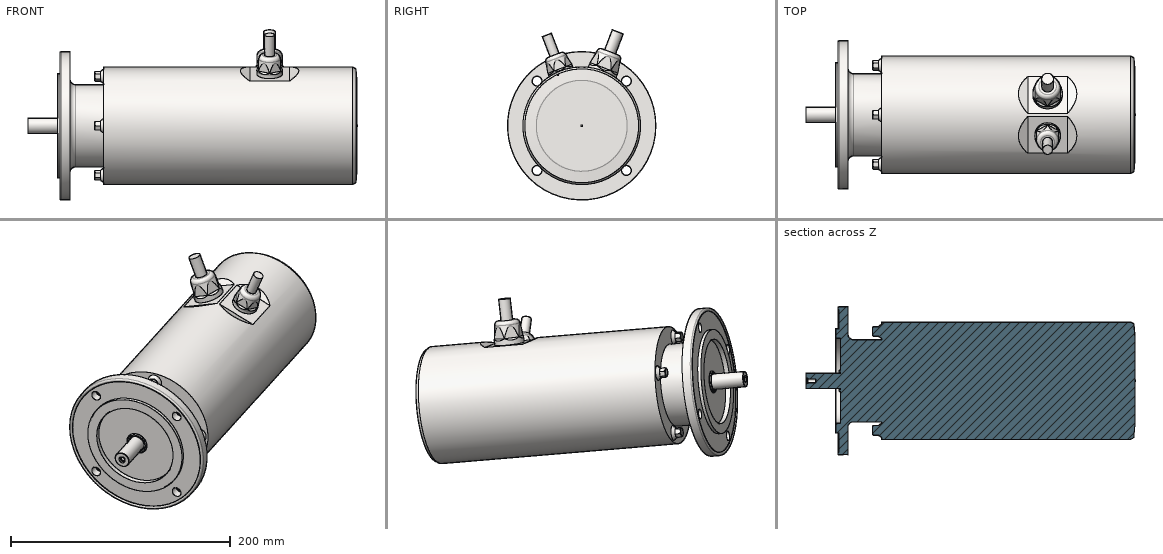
import cadquery as cq
import math

shaft_diameter = 14.0
shaft_chamfer = 0.3
centre_drill_diameter = 3.3
centre_drill_depth = 9.0
centre_bore_diameter = 4.5
centre_bore_depth = 1.8
centre_sink_diameter = 6.3
hub_diameter = 20.0
hub_bore_diameter = 16.0
hub_height = 1.5
hub_chamfer = 1.0

spigot_start = 27.0
spigot_diameter = 95.0
spigot_recess_diameter = 77.0
spigot_recess_depth = 4.5
flange_start = 30.0
flange_end = 38.5
flange_diameter = 135.0
flange_face_diameter = 129.0
rim_bead_centre = 30.5
mount_hole_diameter = 8.7
mount_circle_diameter = 115.0

neck_diameter = 75.0
neck_fillet_radius = 5.0
housing_start = 69.0
housing_end = 298.5
housing_diameter = 107.0
housing_chamfer_length = 3.0
housing_chamfer_depth = 1.8
rear_face_diameter = 82.8
rear_face_end = 299.5
rear_pin_diameter = 1.5
motor_length = 300.0

screw_count = 4
screw_circle_radius = 45.0
screw_head_start = 60.5
screw_hex_corners = 9.0
screw_head_chamfer = 1.0
screw_collar_diameter = 13.5
screw_collar_length = 3.0

seat_centre_x = 220.0
seat_tilt = 21.0
seat_half_width = 18.0
seat_length = 36.0
seat_ramp_angle = 20.0

cap_rounding = 3.5
hexagon_flare = 1.8

housing_radius = housing_diameter / 2
seat_height = math.sqrt(housing_radius**2 - seat_half_width**2)


def cylinder(start, end, diameter):
    """Cylinder on the motor axis between two X positions."""
    return cq.Workplane("YZ").workplane(offset=start).circle(diameter / 2).extrude(end - start)


def seat_frame(tilt):
    """Plane on a cable seat, with x along the motor and its normal tilted towards +Y by `tilt`."""
    angle = math.radians(tilt)
    normal = (0, math.sin(angle), math.cos(angle))
    origin = (seat_centre_x, seat_height * normal[1], seat_height * normal[2])
    return cq.Plane(origin=origin, xDir=(1, 0, 0), normal=normal)


def make_flange():
    flange = cylinder(flange_start, flange_end, flange_diameter)
    spigot = cylinder(spigot_start, flange_start, spigot_diameter)
    recess = cylinder(spigot_start, spigot_start + spigot_recess_depth, spigot_recess_diameter)
    bead_radius = (flange_diameter - flange_face_diameter) / 4
    bead = cq.Workplane(
        cq.Solid.makeTorus(
            flange_diameter / 2 - bead_radius,
            bead_radius,
            cq.Vector(rim_bead_centre, 0, 0),
            cq.Vector(1, 0, 0),
        )
    )
    outer_ring = cylinder(flange_start, rim_bead_centre, flange_diameter)
    outer_ring = outer_ring.cut(cylinder(flange_start, rim_bead_centre, flange_face_diameter))
    flange = flange.cut(outer_ring).union(bead).union(spigot).cut(recess)
    holes = (
        cq.Workplane("YZ")
        .workplane(offset=flange_start)
        .polarArray(mount_circle_diameter / 2, 45, 360, 4)
        .circle(mount_hole_diameter / 2)
        .extrude(flange_end - flange_start)
    )
    return flange.cut(holes)


def make_neck():
    neck_radius = neck_diameter / 2
    return (
        cq.Workplane("XY")
        .moveTo(flange_end, 0)
        .lineTo(flange_end, neck_radius + neck_fillet_radius)
        .radiusArc((flange_end + neck_fillet_radius, neck_radius), -neck_fillet_radius)
        .lineTo(housing_start, neck_radius)
        .lineTo(housing_start, 0)
        .close()
        .revolve(360, (0, 0, 0), (1, 0, 0))
    )


def make_shaft():
    recess_floor = spigot_start + spigot_recess_depth
    hub = cylinder(recess_floor - hub_height, recess_floor, hub_diameter)
    hub = hub.faces("<X").chamfer(hub_chamfer)
    hub = hub.cut(cylinder(recess_floor - hub_height, recess_floor, hub_bore_diameter))
    shaft = cylinder(0, flange_end, shaft_diameter).faces("<X").chamfer(shaft_chamfer)
    drill = cylinder(0, centre_drill_depth, centre_drill_diameter)
    bore = cylinder(0, centre_bore_depth, centre_bore_diameter)
    sink_depth = (centre_sink_diameter - centre_bore_diameter) / 2
    sink = cq.Workplane(
        cq.Solid.makeCone(
            centre_sink_diameter / 2,
            centre_bore_diameter / 2,
            sink_depth,
            pnt=cq.Vector(0, 0, 0),
            dir=cq.Vector(1, 0, 0),
        )
    )
    return shaft.union(hub).cut(drill).cut(bore).cut(sink)


def make_screw_head(angle):
    centre = (0, screw_circle_radius)
    collar_start = housing_start - screw_collar_length
    hexagon = (
        cq.Workplane("YZ")
        .workplane(offset=screw_head_start)
        .center(*centre)
        .transformed(rotate=(0, 0, 90))
        .polygon(6, screw_hex_corners)
        .extrude(housing_start - screw_head_start)
    )
    trim = (
        cq.Workplane("YZ")
        .workplane(offset=screw_head_start)
        .center(*centre)
        .circle(screw_hex_corners / 2)
        .extrude(housing_start - screw_head_start)
        .faces("<X")
        .chamfer(screw_head_chamfer)
    )
    collar = cq.Workplane(
        cq.Solid.makeCone(
            screw_hex_corners / 2,
            screw_collar_diameter / 2,
            screw_collar_length,
            pnt=cq.Vector(collar_start, *centre),
            dir=cq.Vector(1, 0, 0),
        )
    )
    return hexagon.intersect(trim).union(collar).rotate((0, 0, 0), (1, 0, 0), angle)


def make_seat_cut(tilt):
    """Flat seat across the housing with a ramp rising at each end."""
    clearance = 9.0
    bottom = seat_length / 2
    top = bottom + clearance / math.tan(math.radians(seat_ramp_angle))
    return (
        cq.Workplane(cq.Plane(origin=(seat_centre_x, 0, seat_height), xDir=(1, 0, 0), normal=(0, -1, 0)))
        .polyline([(-bottom, 0), (bottom, 0), (top, clearance), (-top, clearance)])
        .close()
        .extrude(housing_radius, both=True)
        .rotate((0, 0, 0), (1, 0, 0), -tilt)
    )


def make_housing():
    chamfer_start = housing_end - housing_chamfer_length
    housing = (
        cq.Workplane("XY")
        .polyline(
            [
                (housing_start, 0),
                (housing_start, housing_radius),
                (chamfer_start, housing_radius),
                (housing_end, housing_radius - housing_chamfer_depth),
                (rear_face_end, rear_face_diameter / 2),
                (rear_face_end, 0),
            ]
        )
        .close()
        .revolve(360, (0, 0, 0), (1, 0, 0))
    )
    housing = housing.union(cylinder(rear_face_end, motor_length, rear_pin_diameter))
    for tilt in (seat_tilt, -seat_tilt):
        housing = housing.cut(make_seat_cut(tilt))
    return housing


def make_motor():
    motor = make_flange().union(make_neck()).union(make_shaft()).union(make_housing())
    for index in range(screw_count):
        motor = motor.union(make_screw_head(index * 360 / screw_count))
    return motor


def make_gland(
    tilt, collar_diameter, collar_height, cap_diameter, gland_height, cable_diameter, cable_height
):
    """Gland with its cable: round collar, hexagon trimmed by a cone, rounded cap and the cable."""
    collar_radius = collar_diameter / 2
    cap_radius = cap_diameter / 2
    hexagon_start = collar_height + hexagon_flare
    rounding_start = gland_height - cap_rounding
    body = (
        cq.Workplane("XZ")
        .lineTo(collar_radius, 0)
        .lineTo(collar_radius, hexagon_start)
        .lineTo(cap_radius, rounding_start)
        .radiusArc((cap_radius - cap_rounding, gland_height), -cap_rounding)
        .lineTo(0, gland_height)
        .close()
        .revolve(360, (0, 0, 0), (0, 1, 0))
    )
    collar = cq.Workplane("XY").circle(collar_radius).extrude(collar_height)
    flare_diameter = collar_diameter + 2 * hexagon_flare / math.cos(math.radians(30))
    flare = (
        cq.Workplane("XY", origin=(0, 0, collar_height))
        .transformed(rotate=(0, 0, 90))
        .polygon(6, flare_diameter)
        .extrude(hexagon_flare, taper=45)
    )
    hexagon = (
        cq.Workplane("XY", origin=(0, 0, hexagon_start))
        .transformed(rotate=(0, 0, 90))
        .polygon(6, collar_diameter)
        .extrude(gland_height - hexagon_start)
    )
    cable = cq.Workplane("XY").circle(cable_diameter / 2).extrude(cable_height)
    gland = body.intersect(flare.union(hexagon)).union(collar).union(cable)
    return cq.Workplane(gland.val().moved(cq.Location(seat_frame(tilt))))


motor = make_motor()
large_gland = make_gland(
    tilt=seat_tilt,
    collar_diameter=27.0,
    collar_height=4.2,
    cap_diameter=23.0,
    gland_height=21.5,
    cable_diameter=10.8,
    cable_height=41.0,
)
small_gland = make_gland(
    tilt=-seat_tilt,
    collar_diameter=23.5,
    collar_height=3.3,
    cap_diameter=19.8,
    gland_height=18.5,
    cable_diameter=9.0,
    cable_height=38.0,
)

result = cq.Compound.makeCompound([motor.val(), large_gland.val(), small_gland.val()])